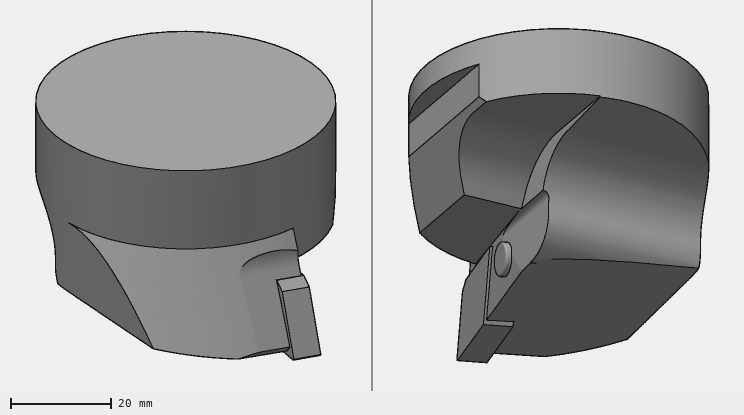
import cadquery as cq
import math

HEAD_RADIUS = 60.0 / 2
CONE_START = 17.6
CONE_ANGLE = 30.9
BODY_DEPTH = 43.7
CONE_RADIUS = HEAD_RADIUS + (BODY_DEPTH - CONE_START) * math.tan(math.radians(CONE_ANGLE))
REACH = 109.3

FLUTE_EDGE_DEPTH = 14.7
FLUTE_ARC_X = -16.4
FLUTE_ARC_DEPTH = 16.0
FLUTE_WALL_X = -4.7
FLUTE_WALL_TOP = 27.9
FLUTE_WALL_BOTTOM = 29.3
HEEL_X = 2.9
HEEL_DEPTH = 36.95

BOTTOM_DEPTH = 33.2
BOTTOM_SLOPE_X = 0.066
BOTTOM_SLOPE_Y = 0.105

BACK_FLAT_Y = 26.0
FLANGE_THICKNESS = 5.6
BACK_BEVEL_DEPTH = 13.0
BACK_BEVEL_ANGLE = 60.0
BACK_FLOOR_DEPTH = 24.8
END_WALL_Y = 4.8
STEP_FILLET = 1.45

REAR_FLUTE_DEPTH = 14.5
REAR_FLUTE_START_X = -10.9
REAR_FLUTE_RADIUS = 15.75
REAR_FLUTE_ANGLE = 60.0

BOSS_X = 14.6
BOSS_Y = 5.55
BOSS_DEPTH = 31.2
BOSS_RADIUS = 3.5
BOSS_LENGTH = 3.65
BOSS_EDGE_ROUND = 0.45

TIP = (43.05, 0.15, -40.0)
RAKE_NORMAL = (0.137, 1.0, -0.1)
EDGE_DIRECTION = (1.0, -0.142, -0.05)
INSERT_SIDE = 15.7
INSERT_ANGLE = 59.0
INSERT_THICKNESS = 6.35
OBTUSE_CHAMFER = 1.6
TIP_CHAMFER = 0.4
RAKE_PROUD = 0.6
SEAT_SETBACK = 0.7
SEAT_ANGLE = 56.0
SEAT_LENGTH = 18.2
SEAT_RADIUS = 7.3
NOSE_SETBACK = 2.9

insert_plane = cq.Plane(origin=TIP, xDir=EDGE_DIRECTION, normal=RAKE_NORMAL)


def toward(angle, length):
    """Local point at a distance from the tip, turned upwards from the lower edge."""
    turn = math.radians(angle)
    return cq.Vector(-length * math.cos(turn), -length * math.sin(turn))


def make_blank():
    head = cq.Workplane("XY").circle(HEAD_RADIUS).extrude(-BODY_DEPTH)
    cone = cq.Workplane("XY").workplane(offset=-CONE_START).circle(HEAD_RADIUS)
    cone = cone.workplane(offset=CONE_START - BODY_DEPTH).circle(CONE_RADIUS).loft()
    quarter = cq.Workplane("XY").box(REACH, REACH, REACH, centered=False)
    quarter = quarter.translate((0, -HEAD_RADIUS, -REACH))
    rake_side = outside_rake(-RAKE_PROUD)
    return head.union(cone.intersect(quarter).cut(rake_side))


def outside_rake(offset):
    """Everything outside the rake plane, with that plane moved outwards by the offset."""
    return cq.Workplane(insert_plane).workplane(offset=offset).rect(2 * REACH, 2 * REACH).extrude(REACH)


def flute_cutter():
    wall_radius = FLUTE_WALL_X - FLUTE_ARC_X
    profile = (
        cq.Workplane("XZ", origin=(0, REACH / 2, 0))
        .moveTo(-HEAD_RADIUS, -FLUTE_EDGE_DEPTH)
        .lineTo(FLUTE_ARC_X, -FLUTE_ARC_DEPTH)
        .radiusArc((FLUTE_WALL_X, -FLUTE_WALL_TOP), wall_radius)
        .lineTo(FLUTE_WALL_X, -FLUTE_WALL_BOTTOM)
        .tangentArcPoint((HEEL_X, -HEEL_DEPTH), relative=False)
        .lineTo(HEEL_X, -REACH)
        .lineTo(-REACH, -REACH)
        .lineTo(-REACH, -FLUTE_EDGE_DEPTH)
        .close()
    )
    return profile.extrude(REACH)


def bottom_cutter():
    plane = cq.Plane(
        origin=(0, -HEAD_RADIUS, -BOTTOM_DEPTH),
        xDir=(1, 0, -BOTTOM_SLOPE_X),
        normal=(-BOTTOM_SLOPE_X, -BOTTOM_SLOPE_Y, -1),
    )
    return cq.Workplane(plane).rect(2 * REACH, 2 * REACH).extrude(REACH)


def back_cutter():
    """Flat and bevel under the flange along the back of the head."""
    bevel_run = (BODY_DEPTH - BACK_BEVEL_DEPTH) / math.tan(math.radians(BACK_BEVEL_ANGLE))
    points = [
        (REACH, -FLANGE_THICKNESS),
        (BACK_FLAT_Y, -FLANGE_THICKNESS),
        (BACK_FLAT_Y, -BACK_BEVEL_DEPTH),
        (BACK_FLAT_Y - bevel_run, -BODY_DEPTH),
        (REACH, -BODY_DEPTH),
    ]
    return cq.Workplane("YZ").polyline(points).close().extrude(REACH, both=True)


def chip_pocket_cutter():
    """Space behind the end wall, with a rounded step and a sloping rake side."""
    pocket = (
        cq.Workplane("YZ")
        .moveTo(END_WALL_Y, -REACH)
        .lineTo(END_WALL_Y, -BACK_FLOOR_DEPTH - STEP_FILLET)
        .radiusArc((END_WALL_Y + STEP_FILLET, -BACK_FLOOR_DEPTH), STEP_FILLET)
        .lineTo(REACH, -BACK_FLOOR_DEPTH)
        .lineTo(REACH, -REACH)
        .close()
        .extrude(REACH, both=True)
    )
    below_floor = cq.Workplane("XY").workplane(offset=-BACK_FLOOR_DEPTH).rect(2 * REACH, 2 * REACH)
    return pocket.union(outside_rake(-RAKE_PROUD).intersect(below_floor.extrude(-REACH)))


def rear_flute_cutter():
    slope = math.radians(REAR_FLUTE_ANGLE)
    arc_end_x = REAR_FLUTE_START_X + REAR_FLUTE_RADIUS * math.sin(slope)
    arc_end_depth = REAR_FLUTE_DEPTH + REAR_FLUTE_RADIUS * (1 - math.cos(slope))
    wall_end_x = arc_end_x + (BODY_DEPTH - arc_end_depth) / math.tan(slope)
    profile = (
        cq.Workplane("XZ", origin=(0, END_WALL_Y + STEP_FILLET, 0))
        .moveTo(-REACH, -REAR_FLUTE_DEPTH)
        .lineTo(REAR_FLUTE_START_X, -REAR_FLUTE_DEPTH)
        .radiusArc((arc_end_x, -arc_end_depth), REAR_FLUTE_RADIUS)
        .lineTo(wall_end_x, -BODY_DEPTH)
        .lineTo(-REACH, -BODY_DEPTH)
        .close()
    )
    return profile.extrude(-REACH)


def make_boss():
    plane = cq.Plane(origin=(BOSS_X, BOSS_Y, -BOSS_DEPTH), xDir=EDGE_DIRECTION, normal=RAKE_NORMAL)
    boss = cq.Workplane(plane).circle(BOSS_RADIUS).extrude(-BOSS_LENGTH)
    outer_face = cq.selectors.DirectionMinMaxSelector(cq.Vector(RAKE_NORMAL))
    return boss.faces(outer_face).edges().fillet(BOSS_EDGE_ROUND)


def seat_cutter():
    """Flat seat along the insert edge, rising into a concave round."""
    outward = toward(SEAT_ANGLE + 90, 1)
    base = toward(0, SEAT_SETBACK)
    top = base + toward(SEAT_ANGLE, SEAT_LENGTH)
    round_end = top + toward(SEAT_ANGLE, SEAT_RADIUS) + outward * SEAT_RADIUS
    low = base - toward(SEAT_ANGLE, SEAT_LENGTH)
    profile = (
        cq.Workplane(insert_plane)
        .moveTo(low.x, low.y)
        .lineTo(top.x, top.y)
        .tangentArcPoint((round_end.x, round_end.y), relative=False)
    )
    far_top = round_end + outward * SEAT_LENGTH
    far_low = low + outward * (SEAT_LENGTH + SEAT_RADIUS)
    profile = profile.lineTo(far_top.x, far_top.y).lineTo(far_low.x, far_low.y).close()
    return profile.extrude(REACH / 2, both=True)


def nose_cutter():
    """Bevel across the body corner below the insert tip."""
    middle = toward(INSERT_ANGLE / 2, NOSE_SETBACK)
    across = toward(INSERT_ANGLE / 2 + 90, SEAT_LENGTH)
    ends = [middle + across, middle - across]
    tip_side = toward(INSERT_ANGLE / 2, -SEAT_LENGTH)
    points = [ends[0], ends[1], ends[1] + tip_side, ends[0] + tip_side]
    outline = [(point.x, point.y) for point in points]
    return cq.Workplane(insert_plane).polyline(outline).close().extrude(REACH / 2, both=True)


def make_insert():
    left = toward(0, INSERT_SIDE)
    top = toward(INSERT_ANGLE, INSERT_SIDE)
    far = left + top
    lower_cut = toward(0, OBTUSE_CHAMFER)
    upper_cut = toward(INSERT_ANGLE, OBTUSE_CHAMFER)
    points = [
        toward(0, TIP_CHAMFER),
        left,
        far,
        top + lower_cut,
        top - upper_cut,
        toward(INSERT_ANGLE, TIP_CHAMFER),
    ]
    outline = [(point.x, point.y) for point in points]
    return cq.Workplane(insert_plane).polyline(outline).close().extrude(-INSERT_THICKNESS)


insert = make_insert()

body = make_blank()
body = body.cut(flute_cutter())
body = body.cut(bottom_cutter())
body = body.cut(back_cutter())
body = body.cut(chip_pocket_cutter())
body = body.cut(rear_flute_cutter())
body = body.union(make_boss())
body = body.cut(seat_cutter())
body = body.cut(nose_cutter())
body = body.cut(insert)

result = cq.Compound.makeCompound([body.val(), insert.val()])